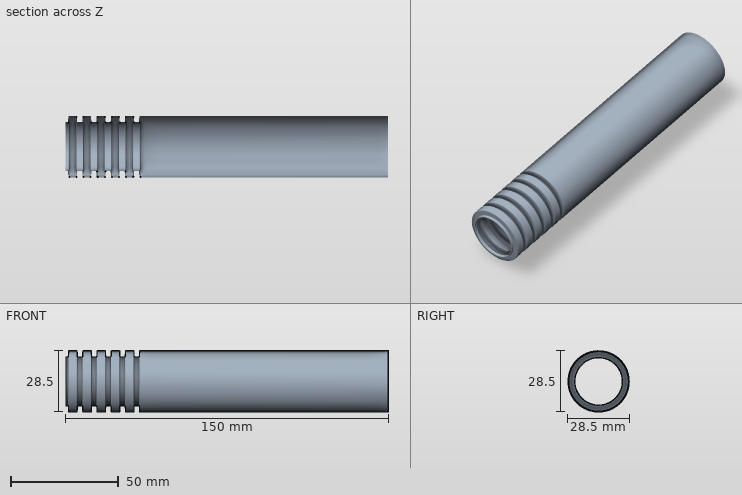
import cadquery as cq
import math

tube_length = 150.0
outer_diameter = 28.5
wall = 0.4

ring_count = 5
pitch = 6.6
ring_base_width = 4.2
groove_diameter = 22.8
flank_run = 0.1
bend_radius = 0.3

outer_radius = outer_diameter / 2
groove_radius = groove_diameter / 2
first_rise = (pitch - ring_base_width) / 2
flank_angle = math.atan2(outer_radius - groove_radius, flank_run)

bend_shift = wall * math.tan(flank_angle / 2)


def skin_bends(inset, shift):
    """(x, radius) bends of one skin, `inset` below the outer skin, in order along X."""
    floor = groove_radius - inset
    crest = outer_radius - inset
    bends = []
    for ring in range(ring_count + 1):
        rise_start = first_rise + ring * pitch + shift
        bends += [(rise_start, floor), (rise_start + flank_run, crest)]
        if ring < ring_count:
            fall_end = first_rise + ring * pitch + ring_base_width - shift
            bends += [(fall_end - flank_run, crest), (fall_end, floor)]
    return bends


def step_from(point, target, distance):
    """Point at `distance` from `point` on the way to `target`."""
    ratio = distance / math.dist(point, target)
    return (
        point[0] + ratio * (target[0] - point[0]),
        point[1] + ratio * (target[1] - point[1]),
    )


def draw_rounded_skin(section, start, bends, end):
    """Continue `section` from `start` to `end`, rounding every bend with a tangent arc."""
    tangent_length = bend_radius * math.tan(flank_angle / 2)
    arc_depth = bend_radius * (1 / math.cos(flank_angle / 2) - 1)
    corners = [start] + bends + [end]
    for before, bend, after in zip(corners, corners[1:], corners[2:]):
        arc_start = step_from(bend, before, tangent_length)
        arc_end = step_from(bend, after, tangent_length)
        chord_middle = ((arc_start[0] + arc_end[0]) / 2, (arc_start[1] + arc_end[1]) / 2)
        arc_middle = step_from(bend, chord_middle, arc_depth)
        section = section.lineTo(*arc_start).threePointArc(arc_middle, arc_end)
    return section.lineTo(*end)


def corrugated_tube():
    """Revolve the thin wall between the outer and inner skins about the X axis."""
    outer_start = (0, groove_radius)
    outer_end = (tube_length, outer_radius)
    inner_start = (0, groove_radius - wall)
    inner_end = (tube_length, outer_radius - wall)
    outer_bends = skin_bends(0, 0)
    inner_bends = skin_bends(wall, bend_shift)

    section = cq.Workplane("XY").moveTo(*outer_start)
    section = draw_rounded_skin(section, outer_start, outer_bends, outer_end)
    section = section.lineTo(*inner_end)
    section = draw_rounded_skin(section, inner_end, inner_bends[::-1], inner_start)
    return section.close().revolve(360, (0, 0, 0), (1, 0, 0))


result = corrugated_tube()